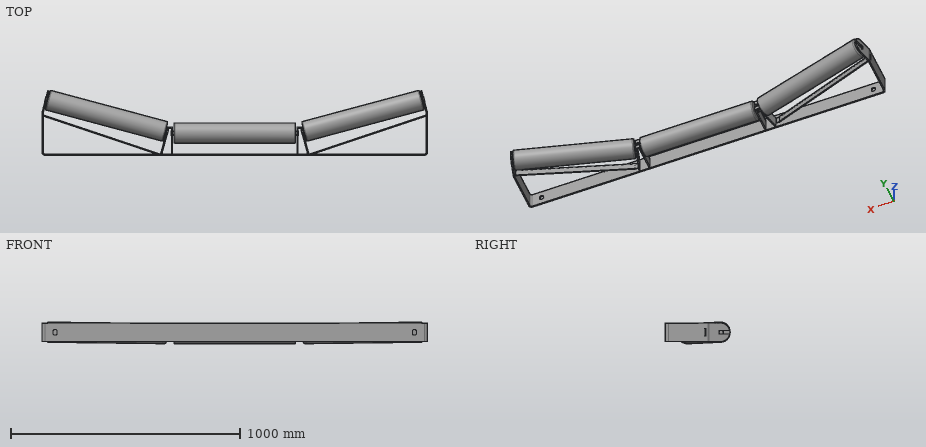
import cadquery as cq
import math

frame_length = 1680.0
strip_width = 80.0
strip_thickness = 6.0
bend_radius = 13.0
end_bend_y = 188.0
mount_hole_width = 18.0
mount_hole_height = 25.0
mount_hole_x = 783.0

roller_diameter = 89.0
roller_length = 531.0
roller_edge_radius = 5.0
shaft_diameter = 20.0
shaft_flat_width = 15.0
shaft_stub = 12.0
trough_angle = 15.0
skew_angle = 0.7
roller_z = -5.7
middle_roller_y = 97.0
inclined_inner_x = 302.0
inclined_inner_y = 105.0

bracket_width = 57.0
bracket_top_y = 125.0
bracket_gap = 5.0

brace_thickness = 5.0
brace_width = 34.0
brace_foot_x = 341.0
brace_end_y = 173.0
brace_tip_height = 0.8

half_length = frame_length / 2
roller_radius = roller_diameter / 2
half_width = strip_width / 2
slot_depth = shaft_diameter / 2
slope = math.tan(math.radians(trough_angle))
slant_thickness = strip_thickness / math.cos(math.radians(trough_angle))
inner_bend_y = end_bend_y - strip_thickness * math.tan(math.radians(trough_angle / 2))
skew_reach = roller_length * math.cos(math.radians(skew_angle))
outer_end_x = inclined_inner_x + skew_reach * math.cos(math.radians(trough_angle))
outer_end_y = inclined_inner_y + skew_reach * math.sin(math.radians(trough_angle))


def strip(points, width):
    """Extrude an outline in XY symmetrically about Z = 0."""
    return cq.Workplane("XY").polyline(points).close().extrude(width / 2, both=True)


def mirrored(body):
    """Left-hand copy of a right-hand body."""
    return body.mirror("YZ")


def incline(body):
    """Carry a body from the X axis to the right-hand inclined roller, inner end first."""
    skewed = body.rotate((0, 0, 0), (0, 1, 0), -skew_angle)
    troughed = skewed.rotate((0, 0, 0), (0, 0, 1), trough_angle)
    return troughed.translate((inclined_inner_x, inclined_inner_y, roller_z))


def make_roller():
    """Roller along +X from the origin, with a flatted shaft stub at each end."""
    shell = cq.Workplane("YZ").circle(roller_radius).extrude(roller_length).edges().fillet(roller_edge_radius)
    shaft_length = roller_length + 2 * shaft_stub
    shaft = cq.Workplane("YZ").workplane(offset=-shaft_stub).circle(shaft_diameter / 2).extrude(shaft_length)
    flats = cq.Workplane("XY").box(shaft_length, shaft_diameter, shaft_flat_width)
    return shell.union(shaft.intersect(flats.translate((roller_length / 2, 0, 0))))


def slot_cutter(start, length):
    """Shaft slot along X that opens towards +Y, for a roller on the X axis."""
    cutter = cq.Workplane("XY").box(length, roller_diameter, shaft_flat_width, centered=(False, False, True))
    return cutter.translate((start, -slot_depth, 0))


def make_arm():
    """Right-hand leaning arm: round tip and an open slot for the shaft."""
    rise = outer_end_y + strip_width - end_bend_y
    tip_y = end_bend_y + rise
    tip_x = half_length - rise * slope
    blank = strip(
        [
            (half_length, end_bend_y),
            (tip_x, tip_y),
            (tip_x - slant_thickness, tip_y),
            (half_length - strip_thickness, inner_bend_y),
        ],
        strip_width,
    )
    tip = cq.Workplane("YZ").circle(half_width).extrude(rise, both=True)
    stem = cq.Workplane("XY").box(2 * rise, rise, strip_width).translate((0, -rise / 2, 0))
    outline = tip.union(stem).rotate((0, 0, 0), (0, 0, 1), trough_angle)
    return blank.intersect(outline.translate((outer_end_x, outer_end_y, 0)))


def make_brace():
    """Right-hand brace: wedge foot on the base, square-cut end trimmed flush with the frame's outer face."""
    run = half_length - brace_foot_x
    angle = math.atan2(brace_end_y - strip_thickness, run)
    cut_height = brace_thickness / math.cos(angle) - brace_tip_height
    setback = cut_height * math.sin(angle) * math.cos(angle)
    tip_top_y = brace_end_y + brace_tip_height
    return strip(
        [
            (brace_foot_x, strip_thickness),
            (half_length, brace_end_y),
            (half_length, tip_top_y),
            (half_length - setback, tip_top_y + cut_height * math.cos(angle) ** 2),
            (brace_foot_x - brace_thickness / math.sin(angle), strip_thickness),
        ],
        brace_width,
    )


def round_end_bends(frame):
    """Round both faces of the bends where the arms start to lean, keeping the thickness."""
    inner_x = half_length - strip_thickness
    bends = ((half_length, end_bend_y, bend_radius), (inner_x, inner_bend_y, bend_radius - strip_thickness))
    for bend_x, bend_y, radius in bends:
        for side in (-1, 1):
            nearest = cq.selectors.NearestToPointSelector((side * bend_x, bend_y, 0))
            frame = frame.edges(nearest).fillet(radius)
    return frame


def strip_block(length):
    """Block as wide as the strip, standing on Y = 0 and reaching up to the end bends."""
    return cq.Workplane("XY").box(length, end_bend_y, strip_width).translate((0, end_bend_y / 2, 0))


def make_base():
    """Base strip with its two upright ends and vertical mounting slots near the corners."""
    outer = strip_block(frame_length)
    outer = outer.edges("|Z and <Y").fillet(bend_radius)
    cavity = strip_block(frame_length - 2 * strip_thickness).translate((0, strip_thickness, 0))
    cavity = cavity.edges("|Z and <Y").fillet(bend_radius - strip_thickness)
    holes = cq.Workplane("XZ").pushPoints([(-mount_hole_x, 0), (mount_hole_x, 0)])
    holes = holes.slot2D(mount_hole_height, mount_hole_width, 90).extrude(-strip_thickness)
    return outer.cut(cavity).cut(holes)


def make_frame():
    """Base with both leaning arms, and recesses for the brace ends."""
    arm = make_arm().cut(incline(slot_cutter(roller_length, 2 * shaft_stub)))
    brace = make_brace()
    frame = round_end_bends(make_base().union(arm).union(mirrored(arm)))
    return frame.cut(brace).cut(mirrored(brace))


def make_bracket():
    """Right-hand bracket: an upright leg, a short top and a leg square to the inclined roller."""
    upright_x = roller_length / 2 + bracket_gap
    top_inner_y = bracket_top_y - strip_thickness
    slant_x = inclined_inner_x - bracket_gap / math.cos(math.radians(trough_angle))

    def slant_face(y):
        return slant_x - (y - inclined_inner_y) * slope

    outer = strip(
        [
            (upright_x, strip_thickness),
            (upright_x, bracket_top_y),
            (slant_face(bracket_top_y), bracket_top_y),
            (slant_face(strip_thickness), strip_thickness),
        ],
        bracket_width,
    )
    cavity = strip(
        [
            (upright_x + strip_thickness, strip_thickness),
            (upright_x + strip_thickness, top_inner_y),
            (slant_face(top_inner_y) - slant_thickness, top_inner_y),
            (slant_face(strip_thickness) - slant_thickness, strip_thickness),
        ],
        bracket_width,
    )
    blank = outer.cut(cavity).translate((0, 0, roller_z))
    middle_slot = slot_cutter(upright_x, shaft_stub).translate((0, middle_roller_y, roller_z))
    inclined_slot = incline(slot_cutter(-2 * shaft_stub, 2 * shaft_stub))
    return blank.cut(middle_slot).cut(inclined_slot)


frame = make_frame()
middle_roller = make_roller().translate((-roller_length / 2, middle_roller_y, roller_z))
inclined_roller = incline(make_roller())
bodies = [frame.solids().val(), middle_roller.solids().val()]
for body in (inclined_roller, make_bracket(), make_brace()):
    bodies += [body.solids().val(), mirrored(body).solids().val()]
result = cq.Compound.makeCompound(bodies)